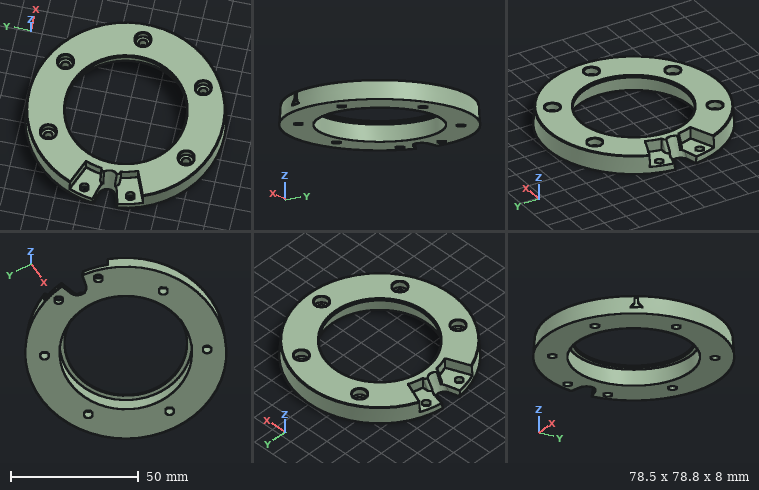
import cadquery as cq
import math

height = 8.0
bottom_radius = 39.4
top_radius = 38.9
bore_radius = 25.9
rim_chamfer = 0.2

cut_margin = 1.6

lip_radius = 24.0
lip_thickness = 1.0

bolt_circle_radius = 31.85
screw_angles = (-120, -60, 0, 60, 120)
hole_diameter = 3.4
counterbore_diameter = 6.15
counterbore_depth = 3.2
counterbore_chamfer = 0.2

pocket_floor = 2.9
pocket_inner_radius = 27.6
pocket_half_angle = 22.1
pocket_outer_radius = bottom_radius + cut_margin
pocket_hole_radius = 35.6
pocket_hole_half_angle = 15

channel_radius = 3.55
channel_bottom_center = -35.4
channel_top_center = -31.1
channel_flare = 15
channel_length = 15.8

nose_half_width = 3.9
nose_floor_front = -31.1
nose_top_front = -28.7
nose_corner_radius = 1.4
nose_back = -pocket_inner_radius + cut_margin

arrow_angle = -30
arrow_base = 2.8
arrow_shoulder = 4.8
arrow_tip = 7.0
arrow_width = 4.7
arrow_stem_width = 1.4
arrow_depth = 0.2


def polar(radius, degrees):
    angle = math.radians(degrees)
    return (radius * math.cos(angle), radius * math.sin(angle))


def oblique_prism(outline, lean, rise):
    """Extrude a closed horizontal outline upward while it leans along X."""
    return cq.Workplane(cq.Solid.extrudeLinear(outline.val(), [], cq.Vector(lean, 0, rise)))


def ring():
    top_edge = height - rim_chamfer
    profile = [
        (bore_radius, 0),
        (bottom_radius, 0),
        (top_radius, top_edge),
        (top_radius - rim_chamfer, height),
        (lip_radius + rim_chamfer, height),
        (lip_radius, top_edge),
        (lip_radius, height - lip_thickness),
        (bore_radius, height - lip_thickness),
    ]
    return cq.Workplane("XZ").polyline(profile).close().revolve(360, (0, 0), (0, 1))


def screw_hole():
    hole_radius = hole_diameter / 2
    bore = counterbore_diameter / 2
    seat = height - counterbore_depth
    profile = [
        (0, 0),
        (hole_radius, 0),
        (hole_radius, seat),
        (bore, seat),
        (bore, height - counterbore_chamfer),
        (bore + counterbore_chamfer, height),
        (0, height),
    ]
    return cq.Workplane("XZ").polyline(profile).close().revolve(360, (0, 0), (0, 1))


def nose():
    front = nose_floor_front
    side = nose_half_width
    lean = nose_top_front - nose_floor_front
    corner = nose_corner_radius
    diagonal = corner * (1 - math.sqrt(0.5))
    outline = (
        cq.Workplane("XY", origin=(0, 0, pocket_floor))
        .moveTo(nose_back, -side)
        .lineTo(front + corner, -side)
        .threePointArc((front + diagonal, -side + diagonal), (front, -side + corner))
        .lineTo(front, side - corner)
        .threePointArc((front + diagonal, side - diagonal), (front + corner, side))
        .lineTo(nose_back, side)
        .close()
    )
    return oblique_prism(outline, lean, height - pocket_floor)


def pocket():
    start = 180 - pocket_half_angle
    end = 180 + pocket_half_angle
    sector = (
        cq.Workplane("XY", origin=(0, 0, pocket_floor))
        .moveTo(*polar(pocket_inner_radius, start))
        .threePointArc((-pocket_inner_radius, 0), polar(pocket_inner_radius, end))
        .lineTo(*polar(pocket_outer_radius, end))
        .threePointArc((-pocket_outer_radius, 0), polar(pocket_outer_radius, start))
        .close()
        .extrude(height - pocket_floor)
    )
    return sector.cut(nose())


def channel():
    center = channel_bottom_center
    flare = math.radians(channel_flare)
    tangent_x = center + channel_radius * math.sin(flare)
    tangent_y = channel_radius * math.cos(flare)
    mouth_x = tangent_x - channel_length
    mouth_y = tangent_y + channel_length * math.tan(flare)
    outline = (
        cq.Workplane("XY")
        .moveTo(mouth_x, -mouth_y)
        .lineTo(tangent_x, -tangent_y)
        .threePointArc((center + channel_radius, 0), (tangent_x, tangent_y))
        .lineTo(mouth_x, mouth_y)
        .close()
    )
    return oblique_prism(outline, channel_top_center - channel_bottom_center, height)


def arrow():
    half_stem = arrow_stem_width / 2
    outline = [
        (-arrow_width / 2, arrow_base),
        (arrow_width / 2, arrow_base),
        (half_stem, arrow_shoulder),
        (half_stem, arrow_tip),
        (-half_stem, arrow_tip),
        (-half_stem, arrow_shoulder),
    ]
    cutter = cq.Workplane("YZ").polyline(outline).close().extrude(bottom_radius + cut_margin)
    core = cq.Workplane("XY").circle(top_radius - arrow_depth).extrude(height)
    return cutter.cut(core).rotate((0, 0, 0), (0, 0, 1), arrow_angle)


result = ring().cut(pocket()).cut(channel()).cut(arrow())

for angle in screw_angles:
    result = result.cut(screw_hole().translate((*polar(bolt_circle_radius, angle), 0)))

for angle in (180 - pocket_hole_half_angle, 180 + pocket_hole_half_angle):
    plain_hole = cq.Workplane("XY").circle(hole_diameter / 2).extrude(height)
    result = result.cut(plain_hole.translate((*polar(pocket_hole_radius, angle), 0)))